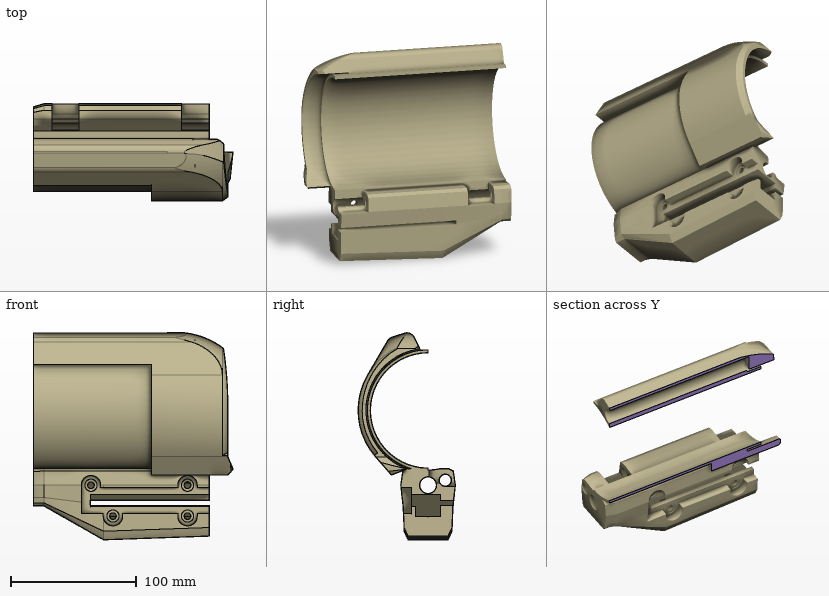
import cadquery as cq
import math


bore_radius = 45.8
sleeve_radius = 48.3
body_length = 140.2

hood_radius = 55.7
hood_start = 93.8
hood_end = 154.9
hood_edge_chamfer = 3.3
hood_edge_chamfer_length = 4.5
rod_block_bottom = 36.6
block_back_foot = (-5.5, 28.5)
block_back_top = (-11.2, 58.7)
block_back_round = (-13.7, 61.0)
block_crown = (-17.6, 61.8)
block_front_top = (-29.0, 58.2)
block_front_round = (-31.2, 56.7)
block_front_corner = (-32.8, 54.5)
wing_tip = (-29.2, -51.5)
wing_bore_y = -13.2
wing_root = (-16.8, -46.7)
crown_round_start = 106.4
crown_round_middle = (133.6, 58.9)
crown_radius = 65.1
dome_turn = 220.0
dome_middle = (134.4, 61.7)
nose_middle = (153.7, 29.7)
back_round_middle = (149.3, -8.2)
nose_shoulder = (151.4, 49.3)
relief_start = 127.0
relief_radius = 49.5

spur_tip_x = 159.0
spur_tip_y, spur_tip_z = wing_root
spur_top = -37.0
spur_overlap = 5.0

rod_diameter = 13.2
upper_rod_center = (-24.5, 49.8)
upper_rod_depth = 128.6
lower_rod_center = (0.0, -59.5)
pin_diameter = 9.5
pin_center = (13.7, -55.5)

base_top = -46.3
saddle_radius = 47.3
base_bottom = -103.0
base_end_bottom = -100.1
nose_bottom = -76.0
nose_length = 8.2
keel_slope_end = 55.9
keel_half_width = 15.8
keel_chamfer_height = 7.0
upper_half_section = [(16.5, base_top), (20.1, -48.2), (21.8, -59.4)]
nose_face_section = [
    (14.8, base_top),
    (17.8, -48.8),
    (19.3, -59.4),
    (18.0, -69.3),
    (17.5, -73.5),
    (keel_half_width, nose_bottom),
]
nose_section = upper_half_section + [(20.8, -69.3), (19.8, -73.5), (keel_half_width, nose_bottom)]

gap_spans = [(14.7, 36.3), (118.0, body_length)]
gap_front = 0.7
gap_step_bottom = -57.7

seat_start = 38.3
seat_top = -61.5
seat_bottom = -82.1
seat_floor_y = -13.2
upper_screws = [(45.8, -59.5), (122.7, -59.5)]
lower_screws = [(63.3, -84.1), (122.7, -84.1)]
screw_diameter = 5.3
screw_ring_diameter = 9.7
screw_ring_depth = 0.7
screw_pocket_radius = 7.8
pocket_length = 9.9
screw_depth = 13.2

hollow_start = 45.4
hollow_half_width = 9.9
hollow_top = -67.0
hollow_bottom = -84.5
front_slot_bottom = -76.5
rear_slot_top = -71.5
rear_slot_bottom = -75.5

reach = 197.9


def box(x_span, y_span, z_span):
    """A box given by its lower and upper limit on each axis."""
    spans = (x_span, y_span, z_span)
    sizes = [high - low for low, high in spans]
    corner = tuple(low for low, high in spans)
    return cq.Workplane("XY").box(*sizes, centered=False).translate(corner)


def rod(center, radius, start, end):
    """A cylinder along X, with its center given in Y and Z."""
    plane = cq.Workplane("YZ", origin=(start, 0, 0))
    return plane.center(*center).circle(radius).extrude(end - start)


def side_prism(outline):
    """A closed XZ outline extruded along the whole of Y."""
    return outline.close().extrude(reach / 2, both=True)


def tangent_point(point, side):
    """Where a line from a point outside the hood circle touches that circle."""
    distance = math.hypot(*point)
    angle = math.atan2(point[1], point[0]) + side * math.acos(hood_radius / distance)
    return (hood_radius * math.cos(angle), hood_radius * math.sin(angle))


def make_sleeve():
    tube = rod((0, 0), sleeve_radius, 0, body_length)
    tube = tube.cut(rod((0, 0), bore_radius, 0, body_length))
    return tube.intersect(box((0, body_length), (-reach, 0), (-reach, reach)))


def hood_section(start):
    """The outline of the rod block, shell and lower wing, ready to extrude along X."""
    mid_radius = (bore_radius + sleeve_radius) / 2
    inner_top_y = block_back_foot[0]
    inner_top = (inner_top_y, math.sqrt(mid_radius**2 - inner_top_y**2))
    inner_bottom = (wing_bore_y, -math.sqrt(mid_radius**2 - wing_bore_y**2))
    return (
        cq.Workplane("YZ", origin=(start, 0, 0))
        .moveTo(*inner_top)
        .lineTo(*block_back_top)
        .threePointArc(block_back_round, block_crown)
        .lineTo(*block_front_top)
        .threePointArc(block_front_round, block_front_corner)
        .lineTo(*tangent_point(block_front_corner, 1))
        .threePointArc((-hood_radius, 0), tangent_point(wing_tip, -1))
        .lineTo(*wing_tip)
        .lineTo(*wing_root)
        .lineTo(*inner_bottom)
        .threePointArc((-mid_radius, 0), inner_top)
        .close()
    )


def make_hood():
    hood = hood_section(0).extrude(hood_end)
    window = box((0, hood_start), (-reach, 0), (-reach, rod_block_bottom))
    hood = hood.cut(window)

    crown_z = block_crown[1]
    side = side_prism(
        cq.Workplane("XZ")
        .moveTo(0, -reach)
        .lineTo(0, crown_z)
        .lineTo(crown_round_start, crown_z)
        .threePointArc(crown_round_middle, nose_shoulder)
        .threePointArc(nose_middle, (hood_end, 0))
        .lineTo(hood_end, -reach)
    )
    hood = hood.intersect(side)

    dome = (
        cq.Workplane("XY")
        .moveTo(crown_round_start, crown_radius)
        .threePointArc(dome_middle, (hood_end - hood_edge_chamfer_length, hood_radius))
        .lineTo(hood_end, hood_radius - hood_edge_chamfer)
        .lineTo(hood_end, crown_radius)
        .close()
        .revolve(dome_turn, (0, 0), (1, 0))
    )
    hood = hood.cut(dome)

    back_y = block_back_foot[0]
    back_corner = (
        cq.Workplane("XY")
        .moveTo(body_length, back_y)
        .threePointArc(back_round_middle, (hood_end, spur_tip_y))
        .lineTo(hood_end, back_y)
        .close()
        .extrude(reach)
    )
    hood = hood.cut(back_corner)

    relief = rod((0, 0), relief_radius, relief_start, hood_end)
    return hood.cut(relief)


def make_spur():
    start = hood_end - spur_overlap
    spur = hood_section(start).extrude(spur_tip_x - start)
    spur = spur.cut(rod((0, 0), relief_radius, start, spur_tip_x))
    side = side_prism(
        cq.Workplane("XZ")
        .moveTo(start, spur_top)
        .lineTo(hood_end, spur_top)
        .lineTo(spur_tip_x, spur_tip_z)
        .lineTo(hood_end, wing_tip[1])
        .lineTo(start, wing_tip[1])
    )
    plan = (
        cq.Workplane("XY", origin=(0, 0, -reach))
        .moveTo(start, spur_tip_y)
        .lineTo(spur_tip_x, spur_tip_y)
        .lineTo(hood_end, -hood_radius)
        .lineTo(start, -hood_radius)
        .close()
        .extrude(2 * reach)
    )
    return spur.intersect(side).intersect(plan)


def keel_section(bottom):
    """Half of a full section of the base, down to the given bottom."""
    lower = [(19.6, -75.2), (19.1, bottom + keel_chamfer_height), (keel_half_width, bottom)]
    return upper_half_section + lower


def section_wire(x, half_section):
    """A closed section across X, mirrored about the XZ plane."""
    right = [cq.Vector(x, y, z) for y, z in half_section]
    left = [cq.Vector(x, -y, z) for y, z in reversed(half_section)]
    return cq.Wire.makePolygon(right + left, close=True)


def make_base():
    stations = [
        section_wire(0, nose_face_section),
        section_wire(nose_length, nose_section),
        section_wire(keel_slope_end, keel_section(base_bottom)),
        section_wire(body_length, keel_section(base_end_bottom)),
    ]
    base = cq.Workplane()
    for start, end in zip(stations, stations[1:]):
        base = base.add(cq.Solid.makeLoft([start, end], True))
    base = base.combine()
    return base.cut(rod((0, 0), saddle_radius, 0, body_length))


def cut_gaps(part):
    """Open the rear top of the base down to the pin hole and the lower rod hole."""
    pin_y, pin_z = pin_center
    pin_bottom = pin_z - pin_diameter / 2
    for span in gap_spans:
        part = part.cut(box(span, (gap_front, pin_y), (gap_step_bottom, base_top)))
        part = part.cut(box(span, (pin_y, reach), (pin_bottom, base_top)))
    return part


def cut_seat(part):
    """Recess the front of the base for a cover, with a round pocket at each screw."""
    seat = box((seat_start, body_length), (-reach, seat_floor_y), (seat_bottom, seat_top))
    middle_z = (seat_top + seat_bottom) / 2
    for x, z in upper_screws + lower_screws:
        plane = cq.Workplane("XZ", origin=(x, seat_floor_y, z))
        seat = seat.union(plane.circle(screw_pocket_radius).extrude(pocket_length))
        channel = box(
            (x - screw_pocket_radius, x + screw_pocket_radius),
            (seat_floor_y - pocket_length, seat_floor_y),
            (min(z, middle_z), max(z, middle_z)),
        )
        seat = seat.union(channel)
    limits = box((seat_start, body_length), (-reach, seat_floor_y), (-reach, reach))
    return part.cut(seat.intersect(limits))


def cut_screw_holes(part):
    for x, z in upper_screws + lower_screws:
        plane = cq.Workplane("XZ", origin=(x, seat_floor_y, z))
        part = part.cut(plane.circle(screw_diameter / 2).extrude(-screw_depth))
        part = part.cut(plane.circle(screw_ring_diameter / 2).extrude(-screw_ring_depth))
    return part


def cut_hollow(part):
    span = (hollow_start, body_length)
    part = part.cut(box(span, (-hollow_half_width, hollow_half_width), (hollow_bottom, hollow_top)))
    part = part.cut(box(span, (-reach, 0), (front_slot_bottom, hollow_top)))
    return part.cut(box(span, (0, reach), (rear_slot_bottom, rear_slot_top)))


def cut_rod_holes(part):
    part = part.cut(rod(upper_rod_center, rod_diameter / 2, 0, upper_rod_depth))
    part = part.cut(rod(lower_rod_center, rod_diameter / 2, 0, body_length))
    return part.cut(rod(pin_center, pin_diameter / 2, 0, body_length))


base = cut_gaps(make_base())
base = cut_seat(base)
base = cut_hollow(base)
base = cut_screw_holes(base)
hood = make_hood().union(make_spur())
result = cut_rod_holes(hood.union(make_sleeve()).union(base))